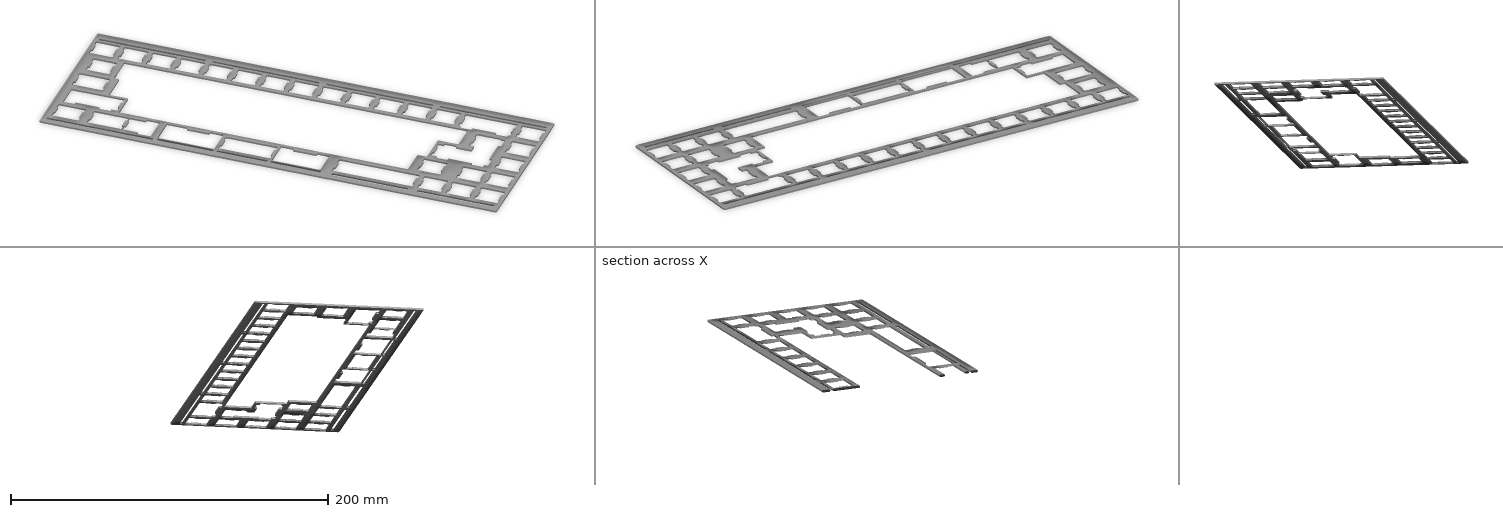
import cadquery as cq

PLATE_LENGTH = 306.5
PLATE_WIDTH = 108.0
PLATE_THICKNESS = 1.2
PLATE_CORNER_RADIUS = 1.0

KEY_PITCH = 19.05
LAST_COLUMN = 15
FRONT_ROW = -2
BACK_ROW = 2
SINGLE_BACK_KEYS = 13

SWITCH_WIDTH = 15.95
SWITCH_HEIGHT = 14.1
TAB_DEPTH = 1.0
TAB_WIDTH = 6.2
OPENING_CORNER_RADIUS = 0.45

STABILISER_WIDTH = 7.9
STABILISER_OFFSET = 11.94
STABILISER_REACH = 8.8

BACKSPACE_COLUMN = 13.5
BACKSPACE_SWITCH_COLUMNS = (13, 14)
LEFT_SHIFT_ROW = -1
LEFT_SHIFT_COLUMN = 0.625
LEFT_SHIFT_LAST_COLUMN = 1.25
WIDE_ENTER_ROW = 0
WIDE_ENTER_COLUMN = 13.375
WIDE_ENTER_FIRST_COLUMN = 12.75
BACKSLASH_ROW = 1
BACKSLASH_COLUMN = 13.75

TALL_ENTER_COLUMN = 13.875
TALL_ENTER_ROW = 0.5
TALL_ENTER_HALF_WIDTH = 7.0
TALL_ENTER_REACH = 9.0

ENTER_CORNER_RADIUS = 0.25

SECOND_KEY_COLUMN = 1.375
THIN_WALL_X = -101.2
THIN_WALL_THICKNESS = 0.4
END_STABILISER_LEFT = -90.1
END_STABILISER_RIGHT = -81.2

LEFT_SPACE_OPENING = (-76.6, -38.6, -62.7, -47.8)
RIGHT_SPACE_OPENING = (0.0, 32.5, 8.4, 24.2)

SLOT_CORNER_RADIUS = 0.4
LONG_SLOT_LENGTH = 71.4
LONG_SLOT_WIDTH = 1.8
LONG_SLOT_PITCH = 4 * KEY_PITCH
BACK_SLOT_Y = 47.7
FRONT_SLOT_Y = -49.3
MIDDLE_SLOTS_BACK = -47.7
MIDDLE_SLOTS_FRONT = -49.4
MIDDLE_SLOTS_X = ((-76.2, -38.6), (-36.3, -2.4), (0.0, 33.5))
RIGHT_SLOTS_BACK = -47.8
RIGHT_SLOTS_FRONT = -50.0
RIGHT_SLOTS_X = ((41.0, 92.0), (98.2, 149.4))

CENTRE_BACK = 28.15
CENTRE_FRONT = -27.4
CENTRE_LEFT_EDGES = (-126.0, -122.4, -109.5)
CENTRE_LEFT_STEPS = (8.77, -10.46)
CENTRE_RIGHT_EDGES = (104.4, 90.6, 84.3)
CENTRE_RIGHT_STEPS = (10.6, -9.7)


def column_x(column):
    return (column - LAST_COLUMN / 2) * KEY_PITCH


def row_y(row):
    return row * KEY_PITCH


def block(x_min, x_max, y_min, y_max):
    corner_box = cq.Workplane("XY").box(x_max - x_min, y_max - y_min, PLATE_THICKNESS, centered=False)
    return corner_box.translate((x_min, y_min, 0))


def rounded_opening(blocks, radius=OPENING_CORNER_RADIUS):
    opening = blocks[0]
    for other in blocks[1:]:
        opening = opening.union(other)
    return opening.clean().edges("|Z").fillet(radius)


def tabbed_block(x_min, x_max, row, left_tab=True, right_tab=True):
    y = row_y(row)
    opening = block(x_min, x_max, y - SWITCH_HEIGHT / 2, y + SWITCH_HEIGHT / 2)
    if left_tab:
        opening = opening.cut(block(x_min, x_min + TAB_DEPTH, y - TAB_WIDTH / 2, y + TAB_WIDTH / 2))
    if right_tab:
        opening = opening.cut(block(x_max - TAB_DEPTH, x_max, y - TAB_WIDTH / 2, y + TAB_WIDTH / 2))
    return opening


def switch_block(row, first_column, last_column, left_tab=True, right_tab=True):
    x_min = column_x(first_column) - SWITCH_WIDTH / 2
    x_max = column_x(last_column) + SWITCH_WIDTH / 2
    return tabbed_block(x_min, x_max, row, left_tab, right_tab)


def stabiliser_block(row, x, back_reach):
    y = row_y(row)
    return block(x - STABILISER_WIDTH / 2, x + STABILISER_WIDTH / 2, y - STABILISER_REACH, y + back_reach)


def key_openings():
    places = [(BACK_ROW, column, column) for column in range(SINGLE_BACK_KEYS)]
    places += [(row, LAST_COLUMN, LAST_COLUMN) for row in range(FRONT_ROW, BACK_ROW + 1)]
    places += [
        (1, 0.25, 0.25),
        (0, 0.125, 0.375),
        (-1, 12.625, 12.625),
        (-1, 14, 14),
        (FRONT_ROW, 0.125, 0.25),
        (FRONT_ROW, 6, 7),
        (FRONT_ROW, 10, 12),
        (FRONT_ROW, 13, 13),
        (FRONT_ROW, 14, 14),
    ]
    return [rounded_opening([switch_block(*place)]) for place in places]


def backspace_opening():
    x = column_x(BACKSPACE_COLUMN)
    return rounded_opening([
        switch_block(BACK_ROW, *BACKSPACE_SWITCH_COLUMNS),
        stabiliser_block(BACK_ROW, x - STABILISER_OFFSET, 0),
        stabiliser_block(BACK_ROW, x + STABILISER_OFFSET, 0),
    ])


def left_shift_opening():
    row = LEFT_SHIFT_ROW
    x = column_x(LEFT_SHIFT_COLUMN)
    x_min = x - STABILISER_OFFSET - STABILISER_WIDTH / 2
    x_max = column_x(LEFT_SHIFT_LAST_COLUMN) + SWITCH_WIDTH / 2
    return rounded_opening([
        tabbed_block(x_min, x_max, row, left_tab=False),
        stabiliser_block(row, x - STABILISER_OFFSET, 0),
        stabiliser_block(row, x + STABILISER_OFFSET, 0),
    ])


def enter_opening():
    wide_x = column_x(WIDE_ENTER_COLUMN)
    tall_x = column_x(TALL_ENTER_COLUMN)
    blocks = [
        switch_block(BACKSLASH_ROW, BACKSLASH_COLUMN, BACKSLASH_COLUMN, right_tab=False),
        switch_block(WIDE_ENTER_ROW, WIDE_ENTER_FIRST_COLUMN, BACKSLASH_COLUMN, right_tab=False),
        stabiliser_block(WIDE_ENTER_ROW, wide_x - STABILISER_OFFSET, STABILISER_REACH),
        stabiliser_block(WIDE_ENTER_ROW, wide_x + STABILISER_OFFSET, 0),
        block(
            tall_x - TALL_ENTER_HALF_WIDTH,
            tall_x + TALL_ENTER_HALF_WIDTH,
            row_y(WIDE_ENTER_ROW),
            row_y(BACKSLASH_ROW),
        ),
    ]
    for side in (-1, 1):
        y = row_y(TALL_ENTER_ROW) + side * STABILISER_OFFSET
        blocks.append(
            block(tall_x, tall_x + TALL_ENTER_REACH, y - STABILISER_WIDTH / 2, y + STABILISER_WIDTH / 2)
        )
    return rounded_opening(blocks, ENTER_CORNER_RADIUS)


def thin_wall_openings():
    y = row_y(FRONT_ROW)
    left_start = column_x(SECOND_KEY_COLUMN) - SWITCH_WIDTH / 2
    left_end = THIN_WALL_X - THIN_WALL_THICKNESS / 2
    right_start = THIN_WALL_X + THIN_WALL_THICKNESS / 2
    return [
        rounded_opening([tabbed_block(left_start, left_end, FRONT_ROW)]),
        rounded_opening([
            tabbed_block(right_start, END_STABILISER_RIGHT, FRONT_ROW, right_tab=False),
            block(END_STABILISER_LEFT, END_STABILISER_RIGHT, y - STABILISER_REACH, y + STABILISER_REACH),
        ]),
    ]


def space_bar_opening(x_min, x_max, step_left, step_right):
    y = row_y(FRONT_ROW)
    return rounded_opening([
        block(x_min, x_max, y - STABILISER_REACH, y + SWITCH_HEIGHT / 2),
        block(x_min, step_left, y, y + STABILISER_REACH),
        block(step_right, x_max, y, y + STABILISER_REACH),
    ])


def slot(x_min, x_max, y_min, y_max):
    return rounded_opening([block(x_min, x_max, y_min, y_max)], SLOT_CORNER_RADIUS)


def long_slot(pitches_from_centre, y):
    x = pitches_from_centre * LONG_SLOT_PITCH
    return slot(
        x - LONG_SLOT_LENGTH / 2, x + LONG_SLOT_LENGTH / 2, y - LONG_SLOT_WIDTH / 2, y + LONG_SLOT_WIDTH / 2
    )


def edge_slots():
    slots = [long_slot(pitches, BACK_SLOT_Y) for pitches in (-1.5, -0.5, 0.5, 1.5)]
    slots.append(long_slot(-1.5, FRONT_SLOT_Y))
    for x_min, x_max in MIDDLE_SLOTS_X:
        slots.append(slot(x_min, x_max, MIDDLE_SLOTS_FRONT, MIDDLE_SLOTS_BACK))
    for x_min, x_max in RIGHT_SLOTS_X:
        slots.append(slot(x_min, x_max, RIGHT_SLOTS_FRONT, RIGHT_SLOTS_BACK))
    return slots


def stepped_end(edges, steps):
    levels = (CENTRE_BACK, *steps, CENTRE_FRONT)
    points = []
    for edge, back, front in zip(edges, levels, levels[1:]):
        points += [(edge, back), (edge, front)]
    return points


def central_opening():
    left = stepped_end(CENTRE_LEFT_EDGES, CENTRE_LEFT_STEPS)
    right = stepped_end(CENTRE_RIGHT_EDGES, CENTRE_RIGHT_STEPS)
    return cq.Workplane("XY").polyline(left + right[::-1]).close().extrude(PLATE_THICKNESS)


openings = key_openings() + thin_wall_openings() + edge_slots()
openings += [
    backspace_opening(),
    left_shift_opening(),
    enter_opening(),
    space_bar_opening(*LEFT_SPACE_OPENING),
    space_bar_opening(*RIGHT_SPACE_OPENING),
    central_opening(),
]

plate = cq.Workplane("XY").rect(PLATE_LENGTH, PLATE_WIDTH).extrude(PLATE_THICKNESS)
plate = plate.edges("|Z").fillet(PLATE_CORNER_RADIUS)
all_openings = cq.Compound.makeCompound([opening.val() for opening in openings])
result = plate.cut(cq.Workplane(all_openings))